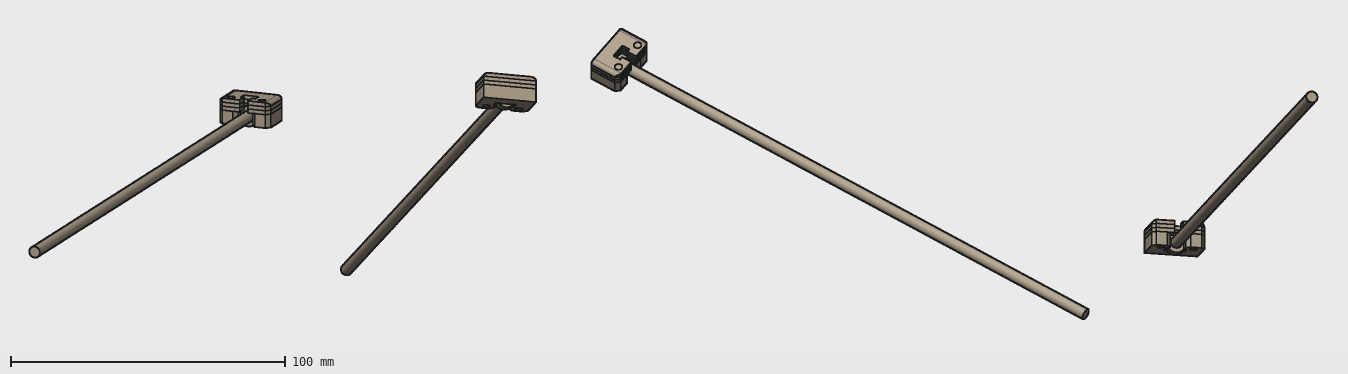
import cadquery as cq


clamp_width = 20.0
clamp_depth = 12.0
base_height = 5.0
sheet_thickness = 1.5
sheet_count = 3
corner_chamfer = 1.5
top_edge_width = 2.0

total_length = 212
rod_radius = 2.1
head_radius = 3.8
head_length = 3.0
head_back_gap = 5.0

sheet_slot_width = 3.2
channel_width = 5.7
head_pocket_width = 2 * head_radius

pin_radius = 1.38
pin_offset = 6.1
pin_front_gap = 2.5

clamp_front = -clamp_depth
clamp_height = base_height + sheet_count * sheet_thickness
rod_axis_height = base_height / 2
head_back = -head_back_gap
head_front = head_back - head_length
pin_places = [(side * pin_offset, clamp_front + pin_front_gap) for side in (-1, 1)]


def block(width, back, front, bottom, height):
    """Box centred on the middle plane, between two Y positions."""
    return cq.Workplane("XY").box(width, back - front, height).translate(
        (0, (back + front) / 2, bottom + height / 2)
    )


def make_pin(place):
    """Upright cylinder over the full height of the clamp."""
    return cq.Workplane("XY").center(*place).circle(pin_radius).extrude(clamp_height)


def drill_pin_holes(layer):
    """Holes that the pins fill."""
    for place in pin_places:
        layer = layer.cut(make_pin(place))
    return layer


def clamp_layer(bottom, height):
    """Plain layer with chamfered front corners."""
    layer = block(clamp_width, 0, clamp_front, bottom, height)
    return layer.edges("|Z and <Y").chamfer(corner_chamfer)


def make_base():
    base = clamp_layer(0, base_height)
    base = base.cut(block(channel_width, head_back, clamp_front, 0, base_height))
    mouth = cq.selectors.BoxSelector(
        (-channel_width, clamp_front - corner_chamfer / 2, 0),
        (channel_width, clamp_front + corner_chamfer / 2, base_height),
    )
    base = base.edges("|Z").edges(mouth).chamfer(corner_chamfer)
    base = base.cut(block(head_pocket_width, head_back, head_front, 0, base_height))
    return drill_pin_holes(base)


def make_sheet(bottom):
    """Sheet with a T-shaped opening: a slot for the rod ending in a window for the head."""
    sheet = clamp_layer(bottom, sheet_thickness)
    sheet = sheet.cut(block(sheet_slot_width, head_back, clamp_front, bottom, sheet_thickness))
    sheet = sheet.cut(block(channel_width, head_back, head_front, bottom, sheet_thickness))
    return drill_pin_holes(sheet)


def make_top_sheet(bottom):
    """Sheet whose left and right sides curve in to its top face as quarter ellipses."""
    half_width = clamp_width / 2
    flat_half_width = half_width - top_edge_width
    rounded_bar = (
        cq.Workplane("XZ", origin=(0, 0, bottom))
        .moveTo(-half_width, 0)
        .lineTo(half_width, 0)
        .ellipseArc(top_edge_width, sheet_thickness, 0, 90)
        .lineTo(-flat_half_width, sheet_thickness)
        .ellipseArc(top_edge_width, sheet_thickness, 90, 180)
        .close()
        .extrude(clamp_depth)
    )
    return make_sheet(bottom).intersect(rounded_bar)


def make_rod():
    """Long rod and its head, turned as one profile about the rod axis."""
    return (
        cq.Workplane("YZ", origin=(0, 0, rod_axis_height))
        .moveTo(head_back, 0)
        .lineTo(head_back, head_radius)
        .lineTo(head_front, head_radius)
        .lineTo(head_front, rod_radius)
        .lineTo(-total_length, rod_radius)
        .lineTo(-total_length, 0)
        .close()
        .revolve(360, (0, 0), (1, 0))
    )


base = make_base()
lower_sheets = [make_sheet(base_height + i * sheet_thickness) for i in range(sheet_count - 1)]
top_sheet = make_top_sheet(clamp_height - sheet_thickness)
rod = make_rod()
pins = [make_pin(place) for place in pin_places]

bodies = [base, *lower_sheets, top_sheet, rod, *pins]
result = cq.Compound.makeCompound([body.solids().val() for body in bodies])